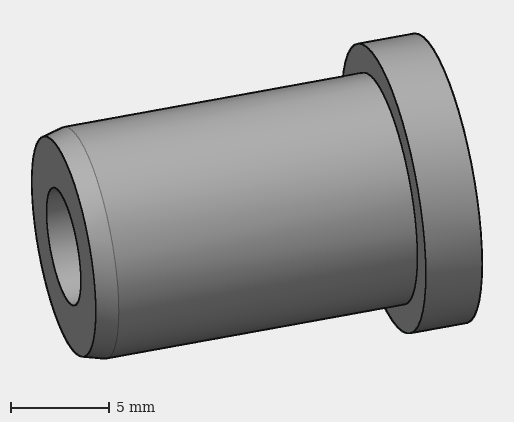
import cadquery as cq

total_length = 20.0
flange_diameter = 15.0
flange_thickness = 3.0
body_diameter = 12.0
bore_diameter = 6.1

taper_length = 1.12
taper_depth = 0.3

bore_radius = bore_diameter / 2
body_radius = body_diameter / 2
flange_radius = flange_diameter / 2
shoulder_y = total_length - flange_thickness

half_section = [
    (bore_radius, 0),
    (body_radius - taper_depth, 0),
    (body_radius, taper_length),
    (body_radius, shoulder_y),
    (flange_radius, shoulder_y),
    (flange_radius, total_length),
    (bore_radius, total_length),
]

result = (
    cq.Workplane("XY")
    .polyline(half_section)
    .close()
    .revolve(360, (0, 0, 0), (0, 1, 0))
)